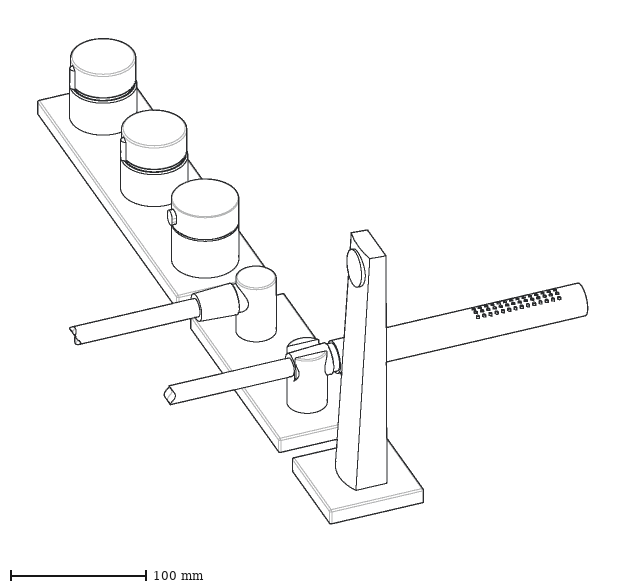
import cadquery as cq

overall_length = 574.99
overall_depth = 365.77

plate_depth = 75.0
plate_thickness = 12.0
plate_edge_radius = 1.3
plate_gap = 25.0
station_pitch = 100.0
valve_plate_length = plate_depth + 2 * station_pitch
hose_plate_length = plate_depth + station_pitch
spout_plate_length = overall_length - valve_plate_length - hose_plate_length - 2 * plate_gap
hose_plate_x = valve_plate_length + plate_gap
spout_plate_x = hose_plate_x + hose_plate_length + plate_gap

knob_x = [plate_depth / 2 + i * station_pitch for i in range(3)]
sleeve_dia = 50.0
sleeve_chamfer = 1.2
lever_sleeve_top = 42.0
lever_knob_dia = 48.4
lever_knob_bottom = 44.2
lever_knob_top = 65.5
lever_knob_fillet = 1.2
lever_neck_dia = 46.0
pointer_dia = 7.0
pointer_reach = 26.5
pointer_top_drop = 2.0
pointer_chamfer = 2.5
diverter_sleeve_top = 45.2
diverter_knob_bottom = 46.6
diverter_knob_top = 67.0
diverter_knob_fillet = 0.6
diverter_neck_dia = 46.0
button_width = 9.0
button_height = 12.0
button_z = 56.5
button_reach = 28.2

post_dia = 30.0
post_top = 60.0
post_fillet = 1.0
outlet_x = hose_plate_x + plate_depth / 2
holder_x = outlet_x + station_pitch
outlet_z = 45.0
holder_z = 46.7
holder_slot_width = 16.0
nut_large_dia = 24.0
nut_small_dia = 21.0
nut_length = 29.5
neck_dia = 21.5
outlet_nut_y = -18.2
holder_nut_y = 16.5

hose_dia = 14.0
break_depth = 2.0
front_end_y = -146.5
holder_hose_end_y = -111.7

shower_dia = 25.0
shower_end_y = front_end_y + overall_depth
shower_start_y = 21.6
nozzle_dia = 2.5
nozzle_depth = 1.0
nozzle_row_pitch = 5.0
nozzle_column_pitch = 4.2
nozzle_rows = 14
nozzle_columns = 4
nozzle_last_y = 199.0

spout_x = spout_plate_x + spout_plate_length / 2
spout_height = 216.81
spout_back_y = 15.0
spout_foot_width = 40.0
spout_foot_side_y = -9.8
spout_foot_crown_y = -14.7
spout_top_width = 36.4
spout_top_side_y = 2.0
spout_top_crown_y = 0.0
spout_top_drop = 1.0
disc_dia = 28.5
disc_z = 197.5
disc_proud = 1.7
disc_depth = 4.0


def vertical_cylinder(diameter, x, bottom, top):
    return cq.Workplane("XY", origin=(x, 0, bottom)).circle(diameter / 2).extrude(top - bottom)


def along_y_cylinder(diameter, x, z, start_y, end_y):
    """Round bar from start_y forward to the lower end_y."""
    return cq.Workplane("XZ", origin=(x, start_y, z)).circle(diameter / 2).extrude(start_y - end_y)


def base_plate(start_x, length):
    plate = cq.Workplane("XY").box(length, plate_depth, plate_thickness, centered=(False, True, False))
    plate = plate.translate((start_x, 0, 0))
    return plate.edges("|Z or >Z").fillet(plate_edge_radius)


def lever_knob(x):
    """Sleeve, recessed neck and handle with a rounded pointer rib on the front."""
    sleeve = vertical_cylinder(sleeve_dia, x, plate_thickness, lever_sleeve_top)
    sleeve = sleeve.faces(">Z").chamfer(sleeve_chamfer)
    neck = vertical_cylinder(lever_neck_dia, x, lever_sleeve_top, lever_knob_bottom)
    handle = vertical_cylinder(lever_knob_dia, x, lever_knob_bottom, lever_knob_top)
    handle = handle.faces("<Z or >Z").edges().fillet(lever_knob_fillet)
    pointer = vertical_cylinder(pointer_dia, x, lever_knob_bottom, lever_knob_top - pointer_top_drop)
    pointer = pointer.faces(">Z").chamfer(pointer_chamfer)
    pointer = pointer.translate((0, pointer_dia / 2 - pointer_reach, 0))
    return sleeve.union(neck).union(handle).union(pointer)


def diverter_knob(x):
    """Sleeve, recessed neck and handle with an oval push button on the front."""
    neck = vertical_cylinder(diverter_neck_dia, x, diverter_sleeve_top, diverter_knob_bottom)
    handle = vertical_cylinder(sleeve_dia, x, diverter_knob_bottom, diverter_knob_top)
    handle = handle.faces(">Z").edges().fillet(diverter_knob_fillet)
    button = cq.Workplane("XZ", origin=(x, 0, button_z)).slot2D(button_height, button_width, 90)
    button = button.extrude(button_reach)
    plain_sleeve = vertical_cylinder(sleeve_dia, x, plate_thickness, diverter_sleeve_top)
    return plain_sleeve.union(neck).union(handle).union(button)


def make_valve_unit():
    unit = base_plate(0, valve_plate_length)
    for x in knob_x[:2]:
        unit = unit.union(lever_knob(x))
    return unit.union(diverter_knob(knob_x[2]))


def make_hose(x, z, nut_y, end_y, bulge):
    """Tapered nut and round hose cut off in an S-shaped break.

    bulge is +1 when the upper half of the break bulges forward, -1 when the lower half does.
    """
    nut_front_y = nut_y - nut_length
    nut = (
        cq.Workplane("XZ", origin=(x, nut_y, z))
        .circle(nut_large_dia / 2)
        .workplane(offset=nut_length)
        .circle(nut_small_dia / 2)
        .loft()
    )
    radius = hose_dia / 2
    break_y = end_y + break_depth
    break_points = [
        (break_y - bulge * break_depth, radius / 2),
        (break_y, 0),
        (break_y + bulge * break_depth, -radius / 2),
        (break_y, -radius),
    ]
    crest = (0, -1)
    leaning_out = (bulge, -1)
    leaning_in = (-bulge, -1)
    break_tangents = [leaning_in, crest, leaning_out, crest, leaning_in]
    side_profile = (
        cq.Workplane("YZ", origin=(x, 0, z))
        .moveTo(nut_front_y, radius)
        .lineTo(break_y, radius)
        .spline(break_points, tangents=break_tangents, includeCurrent=True)
        .lineTo(nut_front_y, -radius)
        .close()
        .extrude(radius, both=True)
    )
    hose = along_y_cylinder(hose_dia, x, z, nut_front_y, end_y - break_depth).intersect(side_profile)
    return nut.union(hose)


def post(x):
    body = vertical_cylinder(post_dia, x, plate_thickness, post_top)
    return body.faces(">Z").edges().fillet(post_fillet)


def make_hose_unit(held_hose):
    """Plate with the hose outlet post and the holder post, which is open at the top."""
    outlet_neck = along_y_cylinder(neck_dia, outlet_x, outlet_z, 0, outlet_nut_y)
    slot = cq.Workplane("XY", origin=(holder_x, 0, holder_z)).rect(holder_slot_width, post_dia)
    slot = slot.extrude(post_top - holder_z)
    holder = post(holder_x).cut(slot).cut(held_hose)
    unit = base_plate(hose_plate_x, hose_plate_length).union(post(outlet_x)).union(outlet_neck)
    return unit.union(holder)


def make_hand_shower():
    body = along_y_cylinder(shower_dia, holder_x, holder_z, shower_end_y, shower_start_y)
    neck = along_y_cylinder(neck_dia, holder_x, holder_z, shower_start_y, holder_nut_y)
    grid_y = nozzle_last_y - (nozzle_rows - 1) * nozzle_row_pitch / 2
    holes = (
        cq.Workplane("XY", origin=(holder_x, grid_y, holder_z))
        .rarray(nozzle_column_pitch, nozzle_row_pitch, nozzle_columns, nozzle_rows)
        .circle(nozzle_dia / 2)
        .extrude(shower_dia)
    )
    core_dia = shower_dia - 2 * nozzle_depth
    core = along_y_cylinder(core_dia, holder_x, holder_z, shower_end_y, shower_start_y)
    return body.cut(holes.cut(core)).union(neck)


def spout_section(base, width, side_y, crown_y):
    """Flat back and sides with a bowed front."""
    return (
        base.moveTo(-width / 2, spout_back_y)
        .lineTo(-width / 2, side_y)
        .threePointArc((0, crown_y), (width / 2, side_y))
        .lineTo(width / 2, spout_back_y)
        .close()
    )


def make_spout_unit():
    rise = spout_height - plate_thickness
    foot = cq.Workplane("XY", origin=(spout_x, 0, plate_thickness))
    column = spout_section(foot, spout_foot_width, spout_foot_side_y, spout_foot_crown_y)
    column = column.workplane(offset=rise)
    column = spout_section(column, spout_top_width, spout_top_side_y, spout_top_crown_y).loft(ruled=True)

    top_wedge = (
        cq.Workplane("YZ", origin=(spout_x, 0, 0))
        .moveTo(spout_top_crown_y, spout_height)
        .lineTo(spout_back_y, spout_height)
        .lineTo(spout_back_y, spout_height - spout_top_drop)
        .close()
        .extrude(spout_foot_width, both=True)
    )

    lean = (spout_top_crown_y - spout_foot_crown_y) / rise
    crown_y = spout_foot_crown_y + lean * (disc_z - plate_thickness)
    disc_plane = cq.Plane(origin=(spout_x, crown_y, disc_z), xDir=(1, 0, 0), normal=(0, -1, lean))
    disc = cq.Workplane(disc_plane).workplane(offset=-disc_depth)
    disc = disc.circle(disc_dia / 2).extrude(disc_depth + disc_proud)
    return base_plate(spout_plate_x, spout_plate_length).union(column.cut(top_wedge)).union(disc)


outlet_hose = make_hose(outlet_x, outlet_z, outlet_nut_y, front_end_y, 1)
holder_hose = make_hose(holder_x, holder_z, holder_nut_y, holder_hose_end_y, -1)
valve_unit = make_valve_unit()
hose_unit = make_hose_unit(holder_hose)
hand_shower = make_hand_shower()
spout_unit = make_spout_unit()

bodies = [valve_unit, hose_unit, spout_unit, hand_shower, outlet_hose, holder_hose]
result = cq.Compound.makeCompound([body.solids().val() for body in bodies])